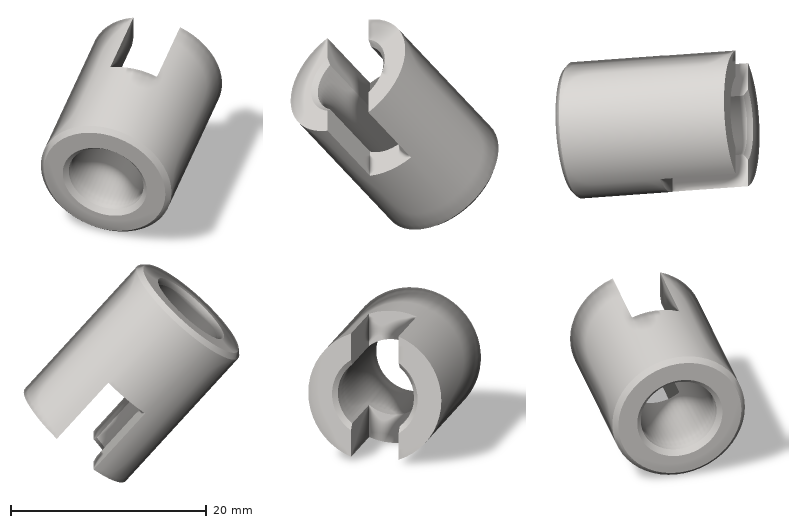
import cadquery as cq

length = 18.0
outer_diameter = 14.0
bore_diameter = 8.0
edge_chamfer = 0.5
slot_width = 5.0
slot_depth = 8.0


def make_sleeve():
    """Plain tube along +Y with its front face on the XZ plane."""
    return (
        cq.Workplane("XZ")
        .circle(outer_diameter / 2)
        .circle(bore_diameter / 2)
        .extrude(-length)
    )


def chamfer_front_edges(sleeve):
    """Break the outer and bore edges of the front face."""
    return sleeve.faces("<Y").edges().chamfer(edge_chamfer)


def chamfer_rear_bore(sleeve):
    """Break the bore edge of the rear face; the outer edge stays sharp."""
    bore_edge = cq.selectors.RadiusNthSelector(0)
    return sleeve.faces(">Y").edges(bore_edge).chamfer(edge_chamfer)


def cut_cross_slot(sleeve):
    """Cut an open slot across the rear end, through both walls along Z."""
    slot = (
        cq.Workplane("XY")
        .box(slot_width, slot_depth, outer_diameter)
        .translate((0, length - slot_depth / 2, 0))
    )
    return sleeve.cut(slot)


sleeve = make_sleeve()
sleeve = chamfer_front_edges(sleeve)
sleeve = chamfer_rear_bore(sleeve)
result = cut_cross_slot(sleeve)